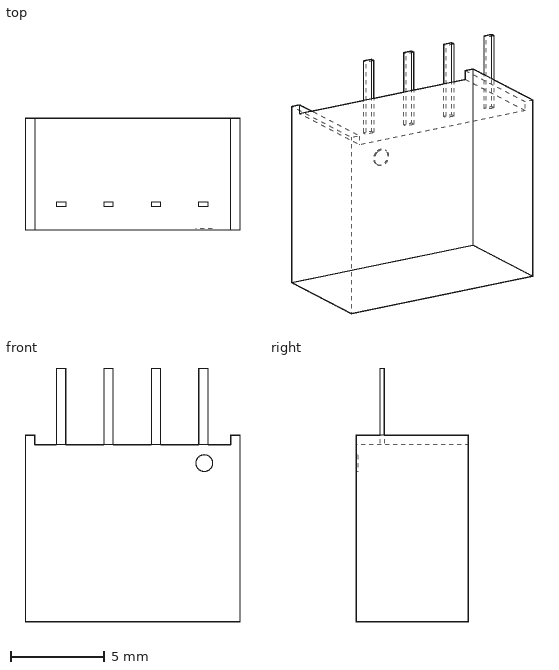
import cadquery as cq

body_length = 11.5
body_depth = 6.0
body_height = 10.0
lip_width = 0.5
lip_height = 0.5
floor_height = body_height - lip_height

pin_count = 4
pin_pitch = 2.54
pin_width = 0.5
pin_thickness = 0.25
pin_top = 13.59
pin_row_center_x = -0.03
pin_row_from_front = 1.39
pin_embed = 0.5

mark_diameter = 0.9
mark_depth = 0.1
mark_x = 3.83
mark_z = 8.51

front_y = -body_depth / 2


def make_housing():
    block = cq.Workplane("XY").box(body_length, body_depth, body_height, centered=(True, True, False))
    channel = (
        cq.Workplane("XY")
        .workplane(offset=floor_height)
        .rect(body_length - 2 * lip_width, body_depth)
        .extrude(lip_height)
    )
    return block.cut(channel)


def make_pins():
    first_x = pin_row_center_x - pin_pitch * (pin_count - 1) / 2
    pin_y = front_y + pin_row_from_front
    pin_bottom = floor_height - pin_embed
    return (
        cq.Workplane("XY")
        .workplane(offset=pin_bottom)
        .pushPoints([(first_x + i * pin_pitch, pin_y) for i in range(pin_count)])
        .rect(pin_width, pin_thickness)
        .extrude(pin_top - pin_bottom)
    )


def make_mark():
    return (
        cq.Workplane("XZ", origin=(mark_x, front_y, mark_z))
        .circle(mark_diameter / 2)
        .extrude(-mark_depth)
    )


result = make_housing().cut(make_mark()).union(make_pins())